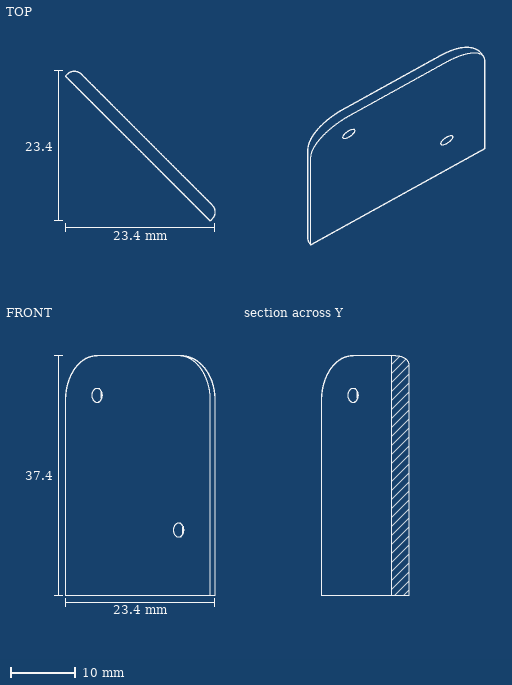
import cadquery as cq

width = 31.92
height = 37.42
thickness = 2.0
corner_radius = 7.0
edge_rounding = 1.5

hole_diameter = 2.2
hole_offset = 8.98
upper_hole_height = 31.2
lower_hole_height = 10.2

flat_face = cq.Plane(origin=(0, 0, 0), xDir=(1, -1, 0), normal=(-1, -1, 0))


def plate_blank():
    """Upright rectangle with its two top corners rounded."""
    blank = (
        cq.Workplane("XY")
        .center(0, height / 2)
        .rect(width, height)
        .extrude(-thickness)
    )
    return blank.edges("|Z and >Y").fillet(corner_radius)


def round_back_edges(plate):
    """Round the back rim along the sides and top, leaving the bottom edge sharp."""
    return plate.faces("<Z").edges("not <Y").fillet(edge_rounding)


def drill_holes(plate):
    hole_centres = [
        (-hole_offset, upper_hole_height),
        (hole_offset, lower_hole_height),
    ]
    drills = (
        cq.Workplane("XY")
        .pushPoints(hole_centres)
        .circle(hole_diameter / 2)
        .extrude(-thickness)
    )
    return plate.cut(drills)


upright_plate = drill_holes(round_back_edges(plate_blank()))
result = cq.Workplane("XY").newObject([upright_plate.val().moved(cq.Location(flat_face))])